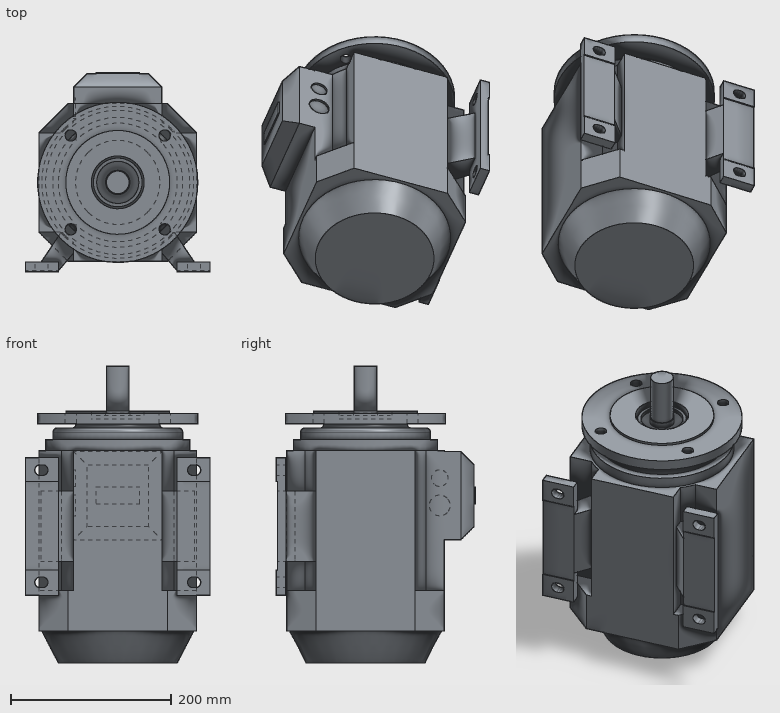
import cadquery as cq


body_bottom = 40.0
notch_bottom = 90.5
body_top = 265.3
ring_top = 279.0
cap_top = 293.5
flange_bottom = 298.5
flange_top = 311.5
spigot_top = 314.5
shaft_top = 370.5

body_half = 98.5
corner_chamfer = 36.5
shoulder_half = body_half - corner_chamfer
rib_half_x = 55.2
core_radius = 93.5

cowl_top_radius = 95.0
cowl_bottom_radius = 74.0

ring_radius = 90.0
cap_radius = 81.0
cap_fillet = 5.5
neck_radius = 52.5
neck_fillet = 4.0
flange_radius = 100.0
spigot_radius = 65.0
bolt_hole_offset = 58.5
bolt_hole_radius = 7.0

shaft_radius = 14.0
collar_radius = 15.2
collar_top = spigot_top - 2.5
bore_radius = 33.0
bore_floor = spigot_top - 10.0
seal_outer_radius = 30.5
seal_inner_radius = 26.3
seal_top = spigot_top - 5.5

box_half_x = rib_half_x
box_bottom = 153.8
box_top = 264.0
box_back = 135.5
box_chamfer = 16.5
label_half_x = 27.0
label_half_z = 10.7
label_thickness = 1.5
cable_hole_depth = 2.5
cable_hole_y = 92.5
cable_holes = [(231.0, 10.5), (196.7, 13.0)]

foot_inner_x = 73.7
feet_span = 231.0
foot_outer_x = feet_span / 2
foot_bottom = 84.5
foot_top = 256.5
foot_face_y = -111.5
foot_back_y = -99.3
pad_relief = 1.5
relief_bottom = 116.0
relief_top = 226.5
arm_bottom = 127.0
arm_top = 214.5
arm_outer_x = 95.5
arm_root_x = 70.5
arm_root_y = -88.0
slot_x = 95.2
slot_length = 16.3
slot_width = 13.5
slot_heights = (100.8, 241.0)


def block(x_range, y_range, z_range):
    """Box spanning the given (low, high) range on each axis."""
    spans = (x_range, y_range, z_range)
    size = [high - low for low, high in spans]
    corner = [low for low, high in spans]
    return cq.Workplane("XY").box(*size, centered=False).translate(tuple(corner))


def disc(radius, bottom, top):
    """Cylinder on the shaft axis between two heights."""
    return cq.Workplane("XY").workplane(offset=bottom).circle(radius).extrude(top - bottom)


def make_body():
    """Octagonal lower body, with a cross and round core above it leaving corner notches."""
    width = 2 * body_half
    lower = block((-body_half, body_half), (-body_half, body_half), (body_bottom, notch_bottom))
    lower = lower.edges("|Z").chamfer(corner_chamfer)
    upper_height = body_top - notch_bottom
    upper = cq.Workplane("XY").workplane(offset=notch_bottom)
    front_to_back = upper.rect(2 * rib_half_x, width).extrude(upper_height)
    side_to_side = upper.rect(width, 2 * shoulder_half).extrude(upper_height)
    core = disc(core_radius, notch_bottom, body_top)
    return lower.union(front_to_back).union(side_to_side).union(core)


def make_cowl():
    """Tapered fan cowl under the body."""
    bottom = cq.Workplane("XY").circle(cowl_bottom_radius)
    return bottom.workplane(offset=body_bottom).circle(cowl_top_radius).loft(ruled=True)


def make_neck():
    """Short neck under the flange, flared onto the cap by a concave fillet."""
    foot_radius = neck_radius + neck_fillet
    fillet_top = cap_top + neck_fillet
    profile = (
        cq.Workplane("XZ")
        .moveTo(0, cap_top)
        .lineTo(foot_radius, cap_top)
        .radiusArc((neck_radius, fillet_top), neck_fillet)
        .lineTo(neck_radius, flange_bottom)
        .lineTo(0, flange_bottom)
        .close()
    )
    return profile.revolve(360, (0, 0), (0, 1))


def make_drive_end():
    """Stepped end cover, neck, mounting flange and spigot."""
    ring = disc(ring_radius, body_top, ring_top)
    cap = disc(cap_radius, ring_top, cap_top).faces(">Z").edges().fillet(cap_fillet)
    cap = cap.union(make_neck())
    flange = disc(flange_radius, flange_bottom, flange_top)
    bolt_square = 2 * bolt_hole_offset
    flange = (
        flange.faces(">Z").workplane()
        .rect(bolt_square, bolt_square, forConstruction=True).vertices()
        .hole(2 * bolt_hole_radius)
    )
    spigot = disc(spigot_radius, flange_top, spigot_top)
    return ring.union(cap).union(flange).union(spigot)


def make_seal_rim():
    """Raised rim on the bore floor, clear of both the bore wall and the shaft."""
    outer = disc(seal_outer_radius, bore_floor, seal_top)
    return outer.cut(disc(seal_inner_radius, bore_floor, seal_top))


def make_shaft():
    """Shaft with the collar at its root."""
    collar = disc(collar_radius, bore_floor, collar_top)
    return collar.union(disc(shaft_radius, bore_floor, shaft_top))


def make_terminal_box():
    """Terminal box with a chamfered lid and a raised label plate."""
    box = block((-box_half_x, box_half_x), (0, box_back), (box_bottom, box_top))
    box = box.faces(">Y").edges().chamfer(box_chamfer)
    middle = (box_bottom + box_top) / 2
    label = block(
        (-label_half_x, label_half_x),
        (box_back, box_back + label_thickness),
        (middle - label_half_z, middle + label_half_z),
    )
    return box.union(label)


def make_cable_hole(height, radius):
    """Blind cable entry in the -X side of the terminal box."""
    side = cq.Workplane("YZ", origin=(-box_half_x, cable_hole_y, height))
    return side.circle(radius).extrude(cable_hole_depth)


def make_foot():
    """Foot on the +X side: slotted plate joined to the body by a slanted arm."""
    relief_y = foot_face_y + pad_relief
    plate = block((foot_inner_x, foot_outer_x), (foot_face_y, foot_back_y), (foot_bottom, foot_top))
    relief = block((foot_inner_x, foot_outer_x), (foot_face_y, relief_y), (relief_bottom, relief_top))
    plate = plate.cut(relief)
    for height in slot_heights:
        slot = cq.Workplane("XZ", origin=(slot_x, foot_back_y, height))
        plate = plate.cut(slot.slot2D(slot_length, slot_width).extrude(foot_back_y - foot_face_y))
    arm_outline = [
        (rib_half_x, -shoulder_half),
        (arm_root_x, -shoulder_half),
        (arm_outer_x, foot_back_y),
        (foot_inner_x, foot_back_y),
        (foot_inner_x, relief_y),
        (rib_half_x, arm_root_y),
    ]
    arm = cq.Workplane("XY").workplane(offset=arm_bottom).polyline(arm_outline).close()
    return plate.union(arm.extrude(arm_top - arm_bottom))


foot = make_foot()
result = make_body().union(make_cowl()).union(make_terminal_box())
result = result.union(make_drive_end()).cut(disc(bore_radius, bore_floor, spigot_top))
result = result.union(make_seal_rim()).union(make_shaft())
result = result.union(foot).union(foot.mirror("YZ"))
for hole_height, hole_radius in cable_holes:
    result = result.cut(make_cable_hole(hole_height, hole_radius))